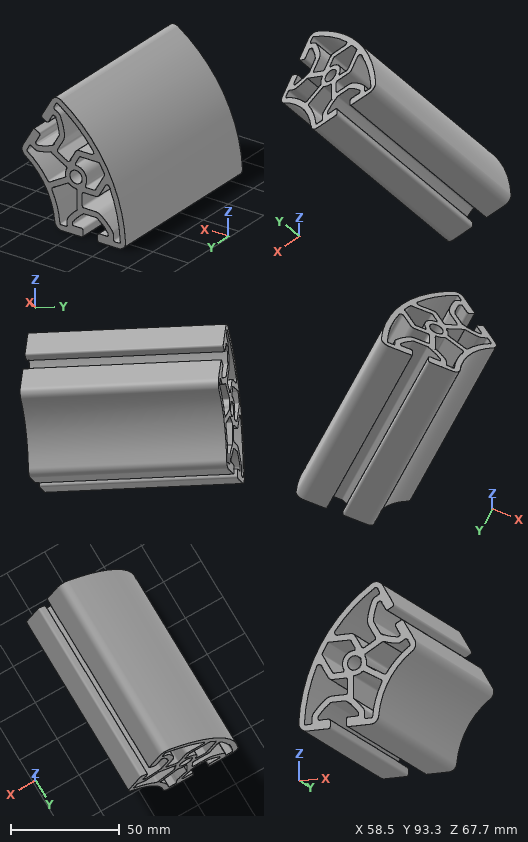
import cadquery as cq
import math

LENGTH = 93.3
SECTOR_ANGLE = 60.0
PITCH_RADIUS = 60.0
HALF_WIDTH = 20.0
WALL = 3.0

HOLE_DIAMETER = 6.8
HUB_RADIUS = 6.0

SLOT_HALF_OPENING = 4.0
LIP_THICKNESS = 4.6
SLOT_HALF_CAVITY = 10.1
SLOT_DEPTH = 12.4
FLANK_RADIUS = 28.9
FLANK_CENTRE_OFFSET = 13.1
FLANK_CENTRE_Z = -11.2

WEB_X = 4.6
BRACE_Z = 23.2
BRACE_ELBOW_X = -4.4
BRACE_ANGLE = 120.0

OUTLINE_RADIUS = 4.0
ELBOW_RADIUS = 2.5
BRACE_TIP_RADIUS = 1.3
SLOT_SHOULDER_RADIUS = 3.3
SLOT_CROWN_RADIUS = 6.1
CORNER_RADIUS = 1.0
LIP_RADIUS = 1.0
SMALL_RADIUS = 0.75

OUTER_RADIUS = PITCH_RADIUS + HALF_WIDTH
INNER_RADIUS = PITCH_RADIUS - HALF_WIDTH
OUTER_POCKET_RADIUS = OUTER_RADIUS - WALL
INNER_POCKET_RADIUS = INNER_RADIUS + WALL
WEB_FAR_X = WEB_X + WALL
BRACE_TOP_Z = BRACE_Z + WALL
SHELL_HALF_WIDTH = SLOT_HALF_CAVITY + WALL
SHELL_TOP = SLOT_DEPTH + WALL
SHELL_RADIUS = FLANK_RADIUS + WALL

RING_AXIS = (PITCH_RADIUS, 0.0)
MIRROR_ANGLE = 180.0 - SECTOR_ANGLE / 2


def polar(centre, radius, angle):
    a = math.radians(angle)
    return (centre[0] + radius * math.cos(a), centre[1] + radius * math.sin(a))


def half_chord(radius, offset):
    return math.sqrt(radius**2 - offset**2)


def direction(centre, point):
    return math.degrees(math.atan2(point[1] - centre[1], point[0] - centre[0]))


def mirrored(point):
    """Reflect a section point in the middle line of the sector."""
    radius = math.dist(RING_AXIS, point)
    return polar(RING_AXIS, radius, 2 * MIRROR_ANGLE - direction(RING_AXIS, point))


def between(centre, start, end):
    """Point on the arc about `centre`, halfway between `start` and `end`."""
    turn = (direction(centre, end) - direction(centre, start) + 180) % 360 - 180
    return polar(centre, math.dist(centre, start), direction(centre, start) + turn / 2)


def ring_x(radius, z):
    """X of the ring circle of this radius at height z."""
    return PITCH_RADIUS - half_chord(radius, z)


def flank_x(radius, z):
    """X of the slot flank on the inner side of the ring at height z."""
    return half_chord(radius, z - FLANK_CENTRE_Z) - FLANK_CENTRE_OFFSET


def flank_z(radius, x):
    """Height of the same flank at x."""
    return half_chord(radius, x + FLANK_CENTRE_OFFSET) + FLANK_CENTRE_Z


def brace_meets_skin(elbow):
    """Where a line rising from `elbow` at the brace angle reaches the outer skin."""
    slope = math.radians(BRACE_ANGLE)
    dx = elbow[0] - RING_AXIS[0]
    dz = elbow[1] - RING_AXIS[1]
    along = dx * math.cos(slope) + dz * math.sin(slope)
    across = dz * math.cos(slope) - dx * math.sin(slope)
    return polar(elbow, half_chord(OUTER_POCKET_RADIUS, across) - along, BRACE_ANGLE)


def section(start):
    return cq.Workplane("XZ", origin=(0, LENGTH / 2, 0)).moveTo(*start)


def prism(outline):
    return outline.close().extrude(LENGTH)


def rounded(solid, radius, *corners):
    """Fillet the long edges that stand on the given section corners."""
    for x, z in corners:
        edge = solid.edges("|Y").edges(cq.NearestToPointSelector((x, 0, z)))
        solid = edge.fillet(radius)
    return solid


def on_both_faces(solid):
    """The solid and its half-turn about the middle line, at the other straight face."""
    x, z = polar(RING_AXIS, PITCH_RADIUS, MIRROR_ANGLE)
    return [solid, solid.rotate((PITCH_RADIUS, 0, 0), (x, 0, z), 180)]


def body():
    outer = (-HALF_WIDTH, 0.0)
    inner = (HALF_WIDTH, 0.0)
    outer_top = mirrored(outer)
    inner_top = mirrored(inner)
    outline = (
        section(outer)
        .threePointArc(between(RING_AXIS, outer, outer_top), outer_top)
        .lineTo(*inner_top)
        .threePointArc(between(RING_AXIS, inner_top, inner), inner)
    )
    return rounded(prism(outline), OUTLINE_RADIUS, outer, outer_top, inner, inner_top)


def slot():
    roof_x = flank_x(FLANK_RADIUS, SLOT_DEPTH)
    flank_foot_z = flank_z(FLANK_RADIUS, SLOT_HALF_CAVITY)
    roof = (roof_x, SLOT_DEPTH)
    foot = (SLOT_HALF_CAVITY, flank_foot_z)
    flank_centre = (-FLANK_CENTRE_OFFSET, FLANK_CENTRE_Z)
    flank_middle = between(flank_centre, foot, roof)
    outline = (
        section((-SLOT_HALF_OPENING, 0))
        .lineTo(SLOT_HALF_OPENING, 0)
        .lineTo(SLOT_HALF_OPENING, LIP_THICKNESS)
        .lineTo(SLOT_HALF_CAVITY, LIP_THICKNESS)
        .lineTo(*foot)
        .threePointArc(flank_middle, roof)
        .lineTo(-roof_x, SLOT_DEPTH)
        .threePointArc((-flank_middle[0], flank_middle[1]), (-SLOT_HALF_CAVITY, flank_foot_z))
        .lineTo(-SLOT_HALF_CAVITY, LIP_THICKNESS)
        .lineTo(-SLOT_HALF_OPENING, LIP_THICKNESS)
    )
    cavity = prism(outline)
    for side in (-1, 1):
        cavity = rounded(cavity, CORNER_RADIUS, (side * roof_x, SLOT_DEPTH))
        cavity = rounded(cavity, LIP_RADIUS, (side * SLOT_HALF_OPENING, LIP_THICKNESS))
        cavity = rounded(
            cavity,
            SMALL_RADIUS,
            (side * SLOT_HALF_CAVITY, flank_foot_z),
            (side * SLOT_HALF_CAVITY, LIP_THICKNESS),
        )
    return cavity


def outer_pocket():
    """Pocket between the outer skin, the slot and the brace."""
    flank_centre = (FLANK_CENTRE_OFFSET, FLANK_CENTRE_Z)
    skin_foot = (ring_x(OUTER_POCKET_RADIUS, WALL), WALL)
    elbow = (BRACE_ELBOW_X, BRACE_Z)
    tip = brace_meets_skin(elbow)
    web_top = (WEB_X, BRACE_Z)
    web_foot = (WEB_X, SHELL_TOP)
    shell_roof = (-flank_x(SHELL_RADIUS, SHELL_TOP), SHELL_TOP)
    shoulder = (-SHELL_HALF_WIDTH, flank_z(SHELL_RADIUS, SHELL_HALF_WIDTH))
    shell_foot = (-SHELL_HALF_WIDTH, WALL)
    outline = (
        section(skin_foot)
        .threePointArc(between(RING_AXIS, skin_foot, tip), tip)
        .lineTo(*elbow)
        .lineTo(*web_top)
        .lineTo(*web_foot)
        .lineTo(*shell_roof)
        .threePointArc(between(flank_centre, shell_roof, shoulder), shoulder)
        .lineTo(*shell_foot)
    )
    pocket = rounded(prism(outline), BRACE_TIP_RADIUS, tip)
    pocket = rounded(pocket, CORNER_RADIUS, web_top, web_foot, shell_foot)
    pocket = rounded(pocket, SMALL_RADIUS, skin_foot)
    pocket = rounded(pocket, ELBOW_RADIUS, elbow)
    pocket = rounded(pocket, SLOT_SHOULDER_RADIUS, shoulder)
    return rounded(pocket, SLOT_CROWN_RADIUS, shell_roof)


def inner_pocket(hub):
    """Pocket between the inner skin, the slot, the hub and the spoke on the middle line."""
    flank_centre = (-FLANK_CENTRE_OFFSET, FLANK_CENTRE_Z)
    half_spoke = WALL / 2
    skin_foot = (ring_x(INNER_POCKET_RADIUS, WALL), WALL)
    shell_foot = (SHELL_HALF_WIDTH, WALL)
    shoulder = (SHELL_HALF_WIDTH, flank_z(SHELL_RADIUS, SHELL_HALF_WIDTH))
    web_foot = (WEB_FAR_X, flank_z(SHELL_RADIUS, WEB_FAR_X))
    web_top = (WEB_FAR_X, hub[1] - half_chord(HUB_RADIUS, WEB_FAR_X - hub[0]))
    spoke_edge = polar(RING_AXIS, half_spoke, MIRROR_ANGLE + 90)
    spoke_end = polar(spoke_edge, half_chord(INNER_POCKET_RADIUS, half_spoke), MIRROR_ANGLE)
    spoke_root = polar(spoke_edge, PITCH_RADIUS - half_chord(HUB_RADIUS, half_spoke), MIRROR_ANGLE)
    outline = (
        section(shell_foot)
        .lineTo(*shoulder)
        .threePointArc(between(flank_centre, shoulder, web_foot), web_foot)
        .lineTo(*web_top)
        .threePointArc(between(hub, web_top, spoke_root), spoke_root)
        .lineTo(*spoke_end)
        .threePointArc(between(RING_AXIS, spoke_end, skin_foot), skin_foot)
    )
    pocket = rounded(prism(outline), SMALL_RADIUS, shell_foot, skin_foot, web_top)
    pocket = rounded(pocket, CORNER_RADIUS, spoke_root, spoke_end)
    return rounded(pocket, SLOT_SHOULDER_RADIUS, shoulder)


def centre_pocket(hub):
    """Pocket between the braces, the outer skin and the hub, symmetric about the middle line."""
    half_bend = math.radians((180 - BRACE_ANGLE) / 2)
    elbow = (BRACE_ELBOW_X + WALL * math.tan(half_bend), BRACE_TOP_Z)
    skin = brace_meets_skin(elbow)
    hub_root = (hub[0] - half_chord(HUB_RADIUS, hub[1] - BRACE_TOP_Z), BRACE_TOP_Z)
    skin_top, elbow_top, hub_root_top = (mirrored(p) for p in (skin, elbow, hub_root))
    outline = (
        section(elbow)
        .lineTo(*skin)
        .threePointArc(between(RING_AXIS, skin, skin_top), skin_top)
        .lineTo(*elbow_top)
        .lineTo(*hub_root_top)
        .threePointArc(between(hub, hub_root_top, hub_root), hub_root)
    )
    corners = (elbow, skin, skin_top, elbow_top, hub_root_top, hub_root)
    return rounded(prism(outline), SMALL_RADIUS, *corners)


hub_centre = polar(RING_AXIS, PITCH_RADIUS, MIRROR_ANGLE)

result = body()
for void in (slot(), outer_pocket(), inner_pocket(hub_centre)):
    for copy in on_both_faces(void):
        result = result.cut(copy)
result = result.cut(centre_pocket(hub_centre))
result = result.cut(section(hub_centre).circle(HOLE_DIAMETER / 2).extrude(LENGTH))
for side in (-1, 1):
    lip = (side * SLOT_HALF_OPENING, 0.0)
    result = rounded(result, LIP_RADIUS, lip, mirrored(lip))